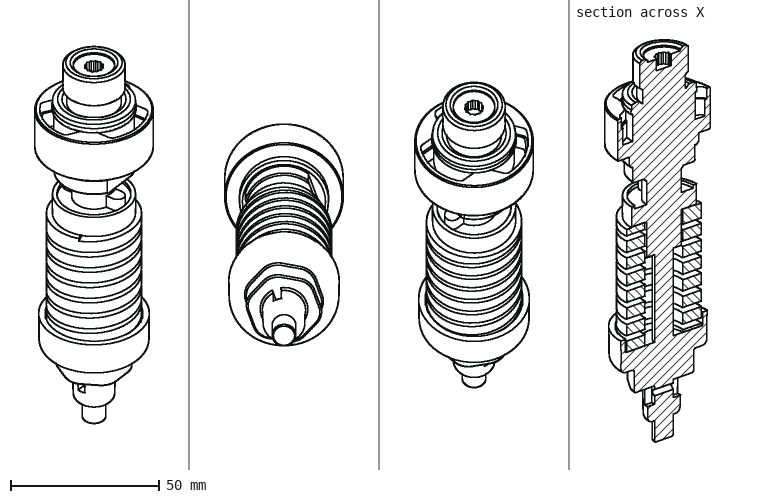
import cadquery as cq
import math


PIN_DIA = 8.0
PIN_CHAMFER = 0.5
NOSE_BOTTOM_Z = 8.2
NOSE_BOTTOM_RADIUS = 7.0
NOSE_TOP_RADIUS = 7.3
NOSE_EDGE_FILLET = 2.2
NOSE_ROOT_FLARE = 0.7
HEX_BOTTOM_Z = 21.3
HEX_ACROSS_FLATS = 24.0
HEX_CORNER_RADIUS = 6.5
HEX_CHAMFER = 0.6
HEX_ROOT_FLARE = 0.6
SLOT_WIDTH = 2.9
SLOT_BOTTOM_Z = 14.6
SLOT_FLOOR_OFFSET = 4.1
CROSS_HOLE_DIA = 2.2
CROSS_HOLE_Z = 18.8

CAP_BOTTOM_Z = 30.2
CAP_TOP_Z = 42.9
CAP_BOTTOM_RADIUS = 18.5
CAP_TOP_RADIUS = 18.7
CAP_EDGE_FILLET = 2.2
CAP_RECESS_RADIUS = 16.5
CAP_RECESS_FLOOR_Z = 38

STEM_DIA = 15.0
BOSS_BOTTOM_Z = 70.8
CUP_BOTTOM_Z = 84.2
CUP_TOP_Z = 92.1
CUP_DIA = 28.0
CUP_RECESS_DIA = 25.0
CUP_RECESS_DEPTH = 1.2
LUG_TOP_Z = 95.6
LUG_WIDTH = 5.1

COLLAR_BOTTOM_Z = 100.7
COLLAR_DIA = 26.9
COLLAR_ACROSS_FLATS = 22.3
COLLAR_CHAMFER = 0.6
STEM_TOP_FLARE = 1.0
FLANGE_BOTTOM_Z = 106.9
FLANGE_DIA = 30.1
FLANGE_CHAMFER = 1.0
RING_BOTTOM_Z = 111
RING_TOP_Z = 126.9
RING_DIA = 40.0
RING_CHAMFER = 0.5
POCKET_COUNT = 3
POCKET_INNER_RADIUS = 13.6
POCKET_OUTER_RADIUS = 18.2
POCKET_WIDTH = 20.7
POCKET_CORNER_RADIUS = 2.0
POCKET_DEPTH = 10.2
POCKET_STEP_DEPTH = 4.1
POCKET_STEP_INSET = 0.7

LIP_RADIUS = 14.3
LIP_TOP_Z = 128.6
SHOULDER_DIA = 28.0
SHOULDER_TOP_Z = 131.0
SHOULDER_CHAMFER_WIDTH = 1.8
SHOULDER_CHAMFER_HEIGHT = 0.6
NECK_DIA = 18.4
NECK_GROOVE_DIA = 21.6
NECK_GROOVE_DEPTH = 1.5
HEAD_DIA = 21.0
HEAD_BOTTOM_Z = 134.6
HEAD_TOP_Z = 146
HEAD_CHAMFER_WIDTH = 1.0
HEAD_CHAMFER_HEIGHT = 0.9
HEAD_UNDERCUT_HEIGHT = 1.0
DISH_TOP_DIA = 16
DISH_FLOOR_DIA = 14.0
DISH_CONE_HEIGHT = 0.9
DISH_DEPTH = 1.5
SOCKET_ACROSS_FLATS = 5.5
SOCKET_FLAT_ANGLES = (-5, 25)
SOCKET_DEPTH = 4.4

SPRING_OUTER_DIA = 32.1
SPRING_INNER_DIA = 16
COIL_HEIGHT = 4.4
COIL_PITCH = 6.3
COIL_TURNS = 8
COIL_START_Z = 33.0
COIL_MARGIN = 0.7
CLOSING_THICKNESS = 2.2
CLOSING_START_ANGLE = 90
CLOSING_SWEEP = 198
CLOSING_MARGIN = 1.5


def cylinder(diameter, bottom_z, top_z):
    return cq.Workplane("XY").workplane(offset=bottom_z).circle(diameter / 2).extrude(top_z - bottom_z)


def revolved(points):
    """Revolve a closed outline of (radius, Z) points about the Z axis."""
    return cq.Workplane("XZ").polyline(points).close().revolve(360, (0, 0), (0, 1))


def hexagon_prism(across_flats, bottom_z, top_z, first_flat_angle):
    """Hexagonal prism with the normal of one flat at the given angle from +X."""
    corner_circle_dia = across_flats / math.cos(math.radians(30))
    return (
        cq.Workplane("XY")
        .workplane(offset=bottom_z)
        .polygon(6, corner_circle_dia)
        .extrude(top_z - bottom_z)
        .rotate((0, 0, 0), (0, 0, 1), first_flat_angle - 30)
    )


def nose():
    """Tapered nose with a rounded lower edge, flaring out where it meets the hexagon."""
    body = revolved([
        (0, NOSE_BOTTOM_Z),
        (NOSE_BOTTOM_RADIUS, NOSE_BOTTOM_Z),
        (NOSE_TOP_RADIUS, HEX_BOTTOM_Z),
        (0, HEX_BOTTOM_Z),
    ]).faces("<Z").edges().fillet(NOSE_EDGE_FILLET)
    flare = revolved([
        (0, HEX_BOTTOM_Z - NOSE_ROOT_FLARE),
        (NOSE_TOP_RADIUS, HEX_BOTTOM_Z - NOSE_ROOT_FLARE),
        (NOSE_TOP_RADIUS + NOSE_ROOT_FLARE, HEX_BOTTOM_Z),
        (0, HEX_BOTTOM_Z),
    ])
    return body.union(flare)


def rounded_hexagon():
    """Hexagon with rounded corners, flaring out where it meets the cap."""
    flare_start_z = CAP_BOTTOM_Z - HEX_ROOT_FLARE
    prism = hexagon_prism(HEX_ACROSS_FLATS, HEX_BOTTOM_Z, flare_start_z, 0)
    prism = prism.edges("|Z").fillet(HEX_CORNER_RADIUS)
    flare = prism.faces(">Z").wires().toPending().extrude(HEX_ROOT_FLARE, combine=False, taper=-45)
    return prism.faces("<Z").edges().chamfer(HEX_CHAMFER).union(flare)


def cut_nose_slots(body):
    """A flat-bottomed slot on the -Y and +Y sides of the nose, joined by a cross hole."""
    slot_height = HEX_BOTTOM_Z - SLOT_BOTTOM_Z
    slot_depth = NOSE_TOP_RADIUS + NOSE_ROOT_FLARE - SLOT_FLOOR_OFFSET
    slot_middle = SLOT_FLOOR_OFFSET + slot_depth / 2
    for side in (-1, 1):
        slot = cq.Workplane("XY").box(SLOT_WIDTH, slot_depth, slot_height)
        body = body.cut(slot.translate((0, side * slot_middle, SLOT_BOTTOM_Z + slot_height / 2)))
    hole = (
        cq.Workplane("XZ")
        .center(0, CROSS_HOLE_Z)
        .circle(CROSS_HOLE_DIA / 2)
        .extrude(HEX_ACROSS_FLATS, both=True)
    )
    return body.cut(hole)


def lower_cap():
    """Slightly tapered cap with a round recess that seats the spring."""
    cap = revolved([
        (0, CAP_BOTTOM_Z),
        (CAP_BOTTOM_RADIUS, CAP_BOTTOM_Z),
        (CAP_TOP_RADIUS, CAP_TOP_Z),
        (0, CAP_TOP_Z),
    ]).faces("<Z").edges().fillet(CAP_EDGE_FILLET)
    return cap.cut(cylinder(2 * CAP_RECESS_RADIUS, CAP_RECESS_FLOOR_Z, CAP_TOP_Z))


def seat_cup():
    """Cup with a shallow recess and two round-ended lugs on -X and +X."""
    cup = cylinder(CUP_DIA, CUP_BOTTOM_Z, CUP_TOP_Z)
    floor_z = CUP_TOP_Z - CUP_RECESS_DEPTH
    cup = cup.cut(cylinder(CUP_RECESS_DIA, floor_z, CUP_TOP_Z))
    lugs = (
        cq.Workplane("XY")
        .workplane(offset=floor_z)
        .slot2D(CUP_RECESS_DIA, LUG_WIDTH)
        .extrude(LUG_TOP_Z - floor_z)
    )
    return cup.union(lugs)


def wrench_collar():
    """Round collar with two flats facing -X and +X, on a flared stem."""
    collar = cylinder(COLLAR_DIA, COLLAR_BOTTOM_Z, FLANGE_BOTTOM_Z)
    collar = collar.faces("<Z").edges().chamfer(COLLAR_CHAMFER)
    collar = collar.intersect(
        cq.Workplane("XY").box(COLLAR_ACROSS_FLATS, COLLAR_DIA, 2 * FLANGE_BOTTOM_Z)
    )
    flare = revolved([
        (0, COLLAR_BOTTOM_Z - STEM_TOP_FLARE),
        (STEM_DIA / 2, COLLAR_BOTTOM_Z - STEM_TOP_FLARE),
        (STEM_DIA / 2 + STEM_TOP_FLARE, COLLAR_BOTTOM_Z),
        (0, COLLAR_BOTTOM_Z),
    ])
    return collar.union(flare)


def pocket_level(inset, depth):
    """Curved pocket centred on +X, with ends parallel to X and rounded outer corners."""
    floor_z = RING_TOP_Z - depth
    outer_radius = POCKET_OUTER_RADIUS - inset
    half_width = POCKET_WIDTH / 2 - inset
    corner_x = math.sqrt(outer_radius**2 - half_width**2)
    blank = (
        cq.Workplane("XY")
        .workplane(offset=floor_z)
        .moveTo(0, -half_width)
        .lineTo(corner_x, -half_width)
        .threePointArc((outer_radius, 0), (corner_x, half_width))
        .lineTo(0, half_width)
        .close()
        .extrude(depth)
    )
    blank = blank.edges("|Z").edges(">X").fillet(POCKET_CORNER_RADIUS - inset)
    return blank.cut(cylinder(2 * POCKET_INNER_RADIUS, floor_z, RING_TOP_Z))


def flange_and_ring():
    """Chamfered flange under a ring with evenly spaced stepped pockets in its top."""
    flange = cylinder(FLANGE_DIA, FLANGE_BOTTOM_Z, RING_BOTTOM_Z)
    flange = flange.faces("<Z").edges().chamfer(FLANGE_CHAMFER)
    ring = cylinder(RING_DIA, RING_BOTTOM_Z, RING_TOP_Z)
    ring = ring.faces("<Z or >Z").edges().chamfer(RING_CHAMFER)
    pocket = pocket_level(0, POCKET_STEP_DEPTH).union(pocket_level(POCKET_STEP_INSET, POCKET_DEPTH))
    for index in range(POCKET_COUNT):
        ring = ring.cut(pocket.rotate((0, 0, 0), (0, 0, 1), index * 360 / POCKET_COUNT))
    return flange.union(ring)


def shoulder():
    """Shoulder with a rounded lip at its foot and a conical groove around the neck."""
    radius = SHOULDER_DIA / 2
    neck_bottom_z = SHOULDER_TOP_Z - NECK_GROOVE_DEPTH
    return (
        cq.Workplane("XZ")
        .moveTo(0, RING_TOP_Z)
        .lineTo(radius, RING_TOP_Z)
        .threePointArc((LIP_RADIUS, (RING_TOP_Z + LIP_TOP_Z) / 2), (radius, LIP_TOP_Z))
        .lineTo(radius, SHOULDER_TOP_Z - SHOULDER_CHAMFER_HEIGHT)
        .lineTo(radius - SHOULDER_CHAMFER_WIDTH, SHOULDER_TOP_Z)
        .lineTo(NECK_GROOVE_DIA / 2, SHOULDER_TOP_Z)
        .lineTo(NECK_DIA / 2, neck_bottom_z)
        .lineTo(0, neck_bottom_z)
        .close()
        .revolve(360, (0, 0), (0, 1))
    )


def head():
    """Neck and cylindrical head with a conical dish and a twelve-point socket in its top."""
    neck_radius = NECK_DIA / 2
    neck_bottom_z = SHOULDER_TOP_Z - NECK_GROOVE_DEPTH
    head_radius = HEAD_DIA / 2
    dish_floor_z = HEAD_TOP_Z - DISH_DEPTH
    body = revolved([
        (0, neck_bottom_z),
        (neck_radius, neck_bottom_z),
        (neck_radius, HEAD_BOTTOM_Z),
        (head_radius, HEAD_BOTTOM_Z + HEAD_UNDERCUT_HEIGHT),
        (head_radius, HEAD_TOP_Z - HEAD_CHAMFER_HEIGHT),
        (head_radius - HEAD_CHAMFER_WIDTH, HEAD_TOP_Z),
        (DISH_TOP_DIA / 2, HEAD_TOP_Z),
        (DISH_FLOOR_DIA / 2, HEAD_TOP_Z - DISH_CONE_HEIGHT),
        (DISH_FLOOR_DIA / 2, dish_floor_z),
        (0, dish_floor_z),
    ])
    socket_bottom_z = dish_floor_z - SOCKET_DEPTH
    for angle in SOCKET_FLAT_ANGLES:
        body = body.cut(hexagon_prism(SOCKET_ACROSS_FLATS, socket_bottom_z, dish_floor_z, angle))
    return body


def make_cartridge():
    """Everything except the spring, as one solid."""
    rod = cylinder(PIN_DIA, 0, BOSS_BOTTOM_Z).faces("<Z").edges().chamfer(PIN_CHAMFER)
    stem = cylinder(STEM_DIA, BOSS_BOTTOM_Z, COLLAR_BOTTOM_Z)
    body = cut_nose_slots(rod.union(nose()))
    for section in (
        rounded_hexagon(), lower_cap(), stem, seat_cup(),
        wrench_collar(), flange_and_ring(), shoulder(), head(),
    ):
        body = body.union(section)
    return body


def spring_coil():
    """Open coil of rectangular section, starting on -X below the lower seat."""
    middle_radius = (SPRING_OUTER_DIA + SPRING_INNER_DIA) / 4
    section_width = (SPRING_OUTER_DIA - SPRING_INNER_DIA) / 2 + 2 * COIL_MARGIN
    path = cq.Wire.makeHelix(COIL_PITCH, COIL_PITCH * COIL_TURNS, middle_radius)
    return (
        cq.Workplane("XZ")
        .center(middle_radius, 0)
        .rect(section_width, COIL_HEIGHT)
        .sweep(cq.Workplane(path), isFrenet=True)
        .rotate((0, 0, 0), (0, 0, 1), 180)
        .translate((0, 0, COIL_START_Z + COIL_HEIGHT / 2))
    )


def closing_turn():
    """Flat turn lying against the upper seat."""
    inner = SPRING_INNER_DIA / 2 - CLOSING_MARGIN
    outer = SPRING_OUTER_DIA / 2 + CLOSING_MARGIN
    bottom_z = CUP_BOTTOM_Z - CLOSING_THICKNESS
    top_z = CUP_BOTTOM_Z + CLOSING_MARGIN
    return (
        cq.Workplane("XZ")
        .polyline([(inner, bottom_z), (outer, bottom_z), (outer, top_z), (inner, top_z)])
        .close()
        .revolve(CLOSING_SWEEP, (0, 0), (0, 1))
        .rotate((0, 0, 0), (0, 0, 1), CLOSING_START_ANGLE)
    )


def make_spring():
    """Coil and closing turn, trimmed together to the spring diameters and the two seats."""
    sleeve = cylinder(SPRING_OUTER_DIA, CAP_RECESS_FLOOR_Z, CUP_BOTTOM_Z)
    sleeve = sleeve.cut(cylinder(SPRING_INNER_DIA, CAP_RECESS_FLOOR_Z, CUP_BOTTOM_Z))
    return spring_coil().union(closing_turn()).intersect(sleeve)


cartridge = make_cartridge()
spring = make_spring()
result = cq.Compound.makeCompound([cartridge.solids().val(), spring.solids().val()])